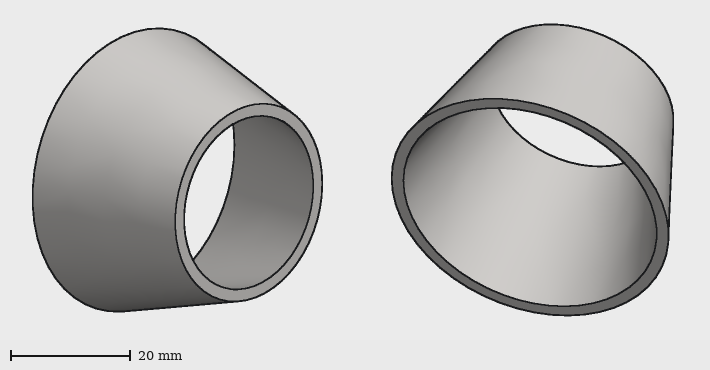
import cadquery as cq

large_diameter = 48.3
small_diameter = 33.7
length = 27.0
wall = 2.1

large_radius = large_diameter / 2
small_radius = small_diameter / 2

wall_section = (
    cq.Workplane("XY")
    .moveTo(0, large_radius)
    .lineTo(length, small_radius)
    .lineTo(length, small_radius - wall)
    .lineTo(0, large_radius - wall)
    .close()
)

result = wall_section.revolve(360, (0, 0, 0), (1, 0, 0))